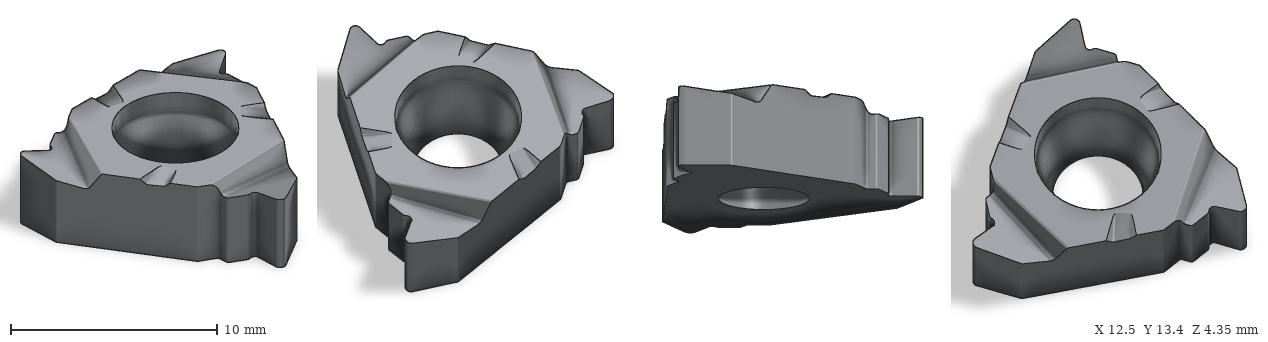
import cadquery as cq
import math


CORNERS = 3
THICKNESS = 4.35
INRADIUS = 9.525 / 2
SIDE_NORMAL = 60

TOOTH_X = -3.365
APEX_Y = 7.2
TIP_Y = 6.904
FLANK_HALF_ANGLE = 30
NOSE_RADIUS = 0.28
ROOT_Y = 5.62
CREST_Y = 5.78
SHOULDER_Y = 5.26
RELIEF_END_X = -2.2
CREST_START_X = -2.04
CREST_END_X = -0.96

ROUND = 0.2

RAKE_ANGLE = 10
CREST_DROP = 0.58
WALL_ANGLE = 60
WALL_DIRECTION = 121.75
WALL_DISTANCE = 4.638
GROOVE_RADIUS = 0.32
WALL_TOP_RADIUS = 0.16
CUTTER_REACH = 8

THROAT_DIAMETER = 4.4
HEAD_DIAMETER = 6.16
HEAD_DEPTH = 1.02
HEAD_TAPER = 6
SEAT_DIAMETER = 5.74
SEAT_DEPTH = 1.24
THROAT_DEPTH = 3.5

DIMPLE_X = -3.455
DIMPLE_Y = -0.52
DIMPLE_HEADING = 166
DIMPLE_SLOPE = 10.5
DIMPLE_FLOOR_WIDTH = 0.67
DIMPLE_WALL_ANGLE = 40
DIMPLE_RADIUS = 0.28
DIMPLE_REACH = 2.0
DIMPLE_CUT_HEIGHT = 0.8


def heading(angle):
    """Horizontal unit vector at an angle from +X."""
    return cq.Vector(math.cos(math.radians(angle)), math.sin(math.radians(angle)), 0)


def rotated(point, angle):
    """A flat point turned about the origin."""
    x, y = point
    cosine = math.cos(math.radians(angle))
    sine = math.sin(math.radians(angle))
    return (x * cosine - y * sine, x * sine + y * cosine)


def rounded_outline(plane, corners):
    """Closed outline through (x, y, radius) corners; a radius of 0 leaves the corner sharp."""
    pieces = []
    for index, (x, y, radius) in enumerate(corners):
        corner = cq.Vector(x, y)
        before = cq.Vector(*corners[index - 1][:2])
        after = cq.Vector(*corners[(index + 1) % len(corners)][:2])
        to_before = (before - corner).normalized()
        to_after = (after - corner).normalized()
        half_angle = to_before.getAngle(to_after) / 2
        bisector = (to_before + to_after).normalized()
        tangent_length = radius / math.tan(half_angle)
        middle = corner + bisector * (radius / math.sin(half_angle) - radius)
        start = corner + to_before * tangent_length
        end = corner + to_after * tangent_length
        pieces.append((radius, start.toTuple()[:2], middle.toTuple()[:2], end.toTuple()[:2]))
    sketch = cq.Workplane(plane).moveTo(*pieces[0][3])
    for radius, start, middle, end in pieces[1:] + pieces[:1]:
        sketch = sketch.lineTo(*start)
        if radius > 0:
            sketch = sketch.threePointArc(middle, end)
    return sketch.close()


def around_axis(shape):
    """The three copies of a shape about the Z axis."""
    return [shape.rotate((0, 0, 0), (0, 0, 1), i * 360 / CORNERS) for i in range(CORNERS)]


def cut_all(body, tools):
    for tool in tools:
        body = body.cut(tool)
    return body


def make_body():
    flank_run = math.tan(math.radians(FLANK_HALF_ANGLE))
    tip_half = (APEX_Y - TIP_Y) * flank_run
    side_x = -INRADIUS
    side_normal = heading(SIDE_NORMAL)
    shoulder_heel_x = (INRADIUS - SHOULDER_Y * side_normal.y) / side_normal.x
    shoulder_step_x = CREST_END_X + (CREST_Y - SHOULDER_Y) * flank_run
    corner = [
        (shoulder_heel_x, SHOULDER_Y, ROUND),
        (shoulder_step_x, SHOULDER_Y, ROUND),
        (CREST_END_X, CREST_Y, ROUND),
        (CREST_START_X, CREST_Y, ROUND),
        (RELIEF_END_X, ROOT_Y, ROUND),
        (TOOTH_X + (APEX_Y - ROOT_Y) * flank_run, ROOT_Y, ROUND),
        (TOOTH_X + tip_half, TIP_Y, NOSE_RADIUS),
        (TOOTH_X - tip_half, TIP_Y, NOSE_RADIUS),
        (side_x, APEX_Y - (TOOTH_X - side_x) / flank_run, ROUND),
    ]
    outline = []
    for i in range(CORNERS):
        for x, y, radius in corner:
            outline.append(rotated((x, y), i * 360 / CORNERS) + (radius,))
    return rounded_outline(cq.Plane.XY(), outline).extrude(THICKNESS)


def groove_cutter():
    """Prism that leaves the rake face, the groove wall and the round between them."""
    outward = heading(WALL_DIRECTION)
    up = cq.Vector(0, 0, 1)
    wall_tilt = math.radians(WALL_ANGLE)
    wall_normal = outward * math.sin(wall_tilt) + up * math.cos(wall_tilt)
    rake_slope = math.radians(RAKE_ANGLE)
    rake_normal = cq.Vector(0, -math.sin(rake_slope), math.cos(rake_slope))
    along = rake_normal.cross(wall_normal).normalized()

    wall_top = outward * WALL_DISTANCE + up * THICKNESS
    down_wall = outward * math.cos(wall_tilt) - up * math.sin(wall_tilt)
    rake_point = cq.Vector(0, CREST_Y, THICKNESS - CREST_DROP)
    walk = (rake_point - wall_top).dot(rake_normal) / down_wall.dot(rake_normal)
    groove_point = wall_top + down_wall * walk

    outward_on_rake = along.cross(rake_normal)
    plane = cq.Plane(groove_point, outward_on_rake, along * -1)
    wall_x = -down_wall.dot(plane.xDir) * CUTTER_REACH
    wall_y = -down_wall.dot(plane.yDir) * CUTTER_REACH
    section = [
        (0, 0, GROOVE_RADIUS),
        (CUTTER_REACH, 0, 0),
        (CUTTER_REACH, CUTTER_REACH, 0),
        (wall_x, wall_y, 0),
    ]
    return rounded_outline(plane, section).extrude(CUTTER_REACH, both=True)


def round_wall_tops(body):
    for i in range(CORNERS):
        edge_direction = heading(WALL_DIRECTION + 90 + i * 360 / CORNERS)
        edge = cq.selectors.ParallelDirSelector(edge_direction)
        body = body.edges(edge).fillet(WALL_TOP_RADIUS)
    return body


def screw_hole():
    """Through hole with a tapered head recess and a bell-shaped seat running into the throat."""
    throat = THROAT_DIAMETER / 2
    head = HEAD_DIAMETER / 2
    seat = SEAT_DIAMETER / 2
    recess_floor = head - HEAD_DEPTH * math.tan(math.radians(HEAD_TAPER))
    seat_z = THICKNESS - SEAT_DEPTH
    throat_z = THICKNESS - THROAT_DEPTH
    return (
        cq.Workplane("XZ")
        .lineTo(throat, 0)
        .lineTo(throat, throat_z)
        .tangentArcPoint((seat, seat_z), relative=False)
        .tangentArcPoint((recess_floor, THICKNESS - HEAD_DEPTH), relative=False)
        .lineTo(head, THICKNESS)
        .lineTo(0, THICKNESS)
        .close()
        .revolve(360, (0, 0), (0, 1))
    )


def dimple_cutter():
    """Open trough whose sloping floor starts at the top face and deepens outward."""
    slope = math.radians(DIMPLE_SLOPE)
    outward = heading(DIMPLE_HEADING) * math.cos(slope) - cq.Vector(0, 0, math.sin(slope))
    across = heading(DIMPLE_HEADING + 90)
    plane = cq.Plane((DIMPLE_X, DIMPLE_Y, THICKNESS), across, outward)
    wall = math.radians(DIMPLE_WALL_ANGLE)
    floor_half = DIMPLE_FLOOR_WIDTH / 2 + DIMPLE_RADIUS * math.tan(wall / 2)
    top_half = floor_half + DIMPLE_CUT_HEIGHT / math.tan(wall)
    section = [
        (-floor_half, 0, DIMPLE_RADIUS),
        (floor_half, 0, DIMPLE_RADIUS),
        (top_half, DIMPLE_CUT_HEIGHT, 0),
        (-top_half, DIMPLE_CUT_HEIGHT, 0),
    ]
    return rounded_outline(plane, section).extrude(DIMPLE_REACH)


insert = cut_all(make_body(), around_axis(groove_cutter()))
insert = round_wall_tops(insert)
insert = cut_all(insert, around_axis(dimple_cutter()))
result = insert.cut(screw_hole())